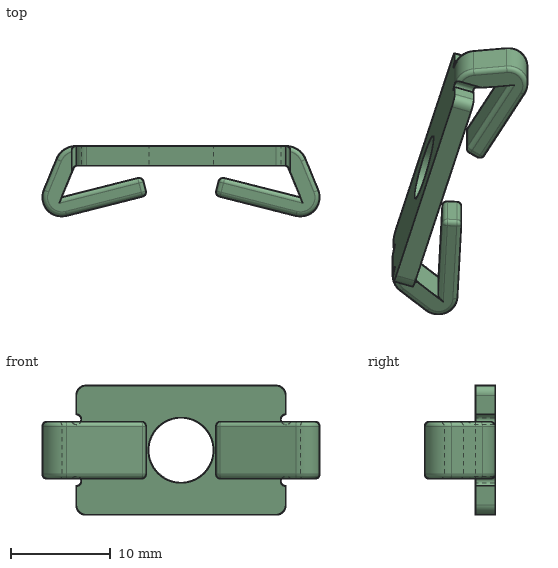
import cadquery as cq
import math

thickness = 2.0
plate_width = 21.03
plate_height = 13.0
plate_corner_radius = 1.0
hole_diameter = 6.5

overall_width = 27.82
overall_depth = 7.1
arm_height = 5.75
arm_edge_radius = 0.5
arm_thickness = 1.95
root_outer_radius = 2.15
root_inner_radius = 0.4
return_length = 8.35
return_angle = math.radians(14.2)
arm_overlap = 1.0

relief_radius = 0.5
relief_top = 3.6


def offset(point, distance, angle):
    """Point at a distance and direction from another point."""
    return (point[0] + distance * math.cos(angle), point[1] + distance * math.sin(angle))


def make_plate():
    body = cq.Workplane("XY").box(plate_width, thickness, plate_height)
    body = body.translate((0, -thickness / 2, 0)).edges("|Y").fillet(plate_corner_radius)
    hole = cq.Workplane("XZ").circle(hole_diameter / 2).extrude(thickness)
    return body.cut(hole)


def make_left_arm():
    root = (-plate_width / 2, -root_outer_radius)
    hook = (-overall_width / 2 + arm_thickness, -overall_depth + arm_thickness)

    span = math.hypot(root[0] - hook[0], root[1] - hook[1])
    centre_slope = math.atan2(root[0] - hook[0], root[1] - hook[1])
    leg_slope = centre_slope - math.asin((root_outer_radius - arm_thickness) / span)
    leg_normal = math.pi - leg_slope
    root_middle = (math.pi / 2 + leg_normal) / 2
    return_normal = return_angle + 3 * math.pi / 2
    hook_middle = (leg_normal + return_normal) / 2

    inner_root_y = -thickness - root_inner_radius
    inner_root_reach = root_outer_radius - arm_thickness - root_inner_radius
    inner_root_rise = (inner_root_y - root[1]) * math.sin(leg_normal)
    inner_root_x = root[0] + (inner_root_reach - inner_root_rise) / math.cos(leg_normal)
    inner_root = (inner_root_x, inner_root_y)

    hook_end = offset(hook, arm_thickness, return_normal)
    buried_x = root[0] + arm_overlap
    arm = (
        cq.Workplane("XY", origin=(0, 0, -arm_height / 2))
        .moveTo(buried_x, 0)
        .lineTo(root[0], 0)
        .threePointArc(
            offset(root, root_outer_radius, root_middle),
            offset(root, root_outer_radius, leg_normal),
        )
        .lineTo(*offset(hook, arm_thickness, leg_normal))
        .threePointArc(offset(hook, arm_thickness, hook_middle), hook_end)
        .lineTo(*offset(hook_end, return_length, return_angle))
        .lineTo(*offset(hook, return_length, return_angle))
        .lineTo(*hook)
        .lineTo(*offset(inner_root, root_inner_radius, leg_normal))
        .threePointArc(
            offset(inner_root, root_inner_radius, root_middle),
            offset(inner_root, root_inner_radius, math.pi / 2),
        )
        .lineTo(buried_x, -thickness)
        .close()
        .extrude(arm_height)
    )

    tip = offset(hook, return_length, return_angle)
    tip_middle = offset(tip, arm_thickness / 2, return_normal)
    inner_middle = offset(hook, return_length / 2, return_angle)
    tip_face = arm.faces(cq.selectors.NearestToPointSelector((*tip_middle, 0)))
    inner_edges = [
        arm.edges(cq.selectors.NearestToPointSelector((*inner_middle, z))).val()
        for z in (-arm_height / 2, arm_height / 2)
    ]
    outer_points = [
        offset(root, root_outer_radius, root_middle),
        offset(offset(hook, arm_thickness, leg_normal), span / 2, math.pi / 2 - leg_slope),
        offset(hook, arm_thickness, hook_middle),
        offset(hook_end, return_length / 2, return_angle),
    ]
    outer_edges = [
        arm.edges(cq.selectors.NearestToPointSelector((*point, z))).val()
        for point in outer_points
        for z in (-arm_height / 2, arm_height / 2)
    ]
    rounded_edges = tip_face.edges().vals() + inner_edges + outer_edges
    return arm.newObject(rounded_edges).fillet(arm_edge_radius)


def make_reliefs():
    centre_z = relief_top - relief_radius
    centres = [(x, z) for x in (-plate_width / 2, plate_width / 2) for z in (-centre_z, centre_z)]
    relief_depth = thickness + 2 * root_inner_radius
    return cq.Workplane("XZ").pushPoints(centres).circle(relief_radius).extrude(relief_depth)


left_arm = make_left_arm()
right_arm = left_arm.mirror("YZ")
result = make_plate().union(left_arm).union(right_arm).cut(make_reliefs())